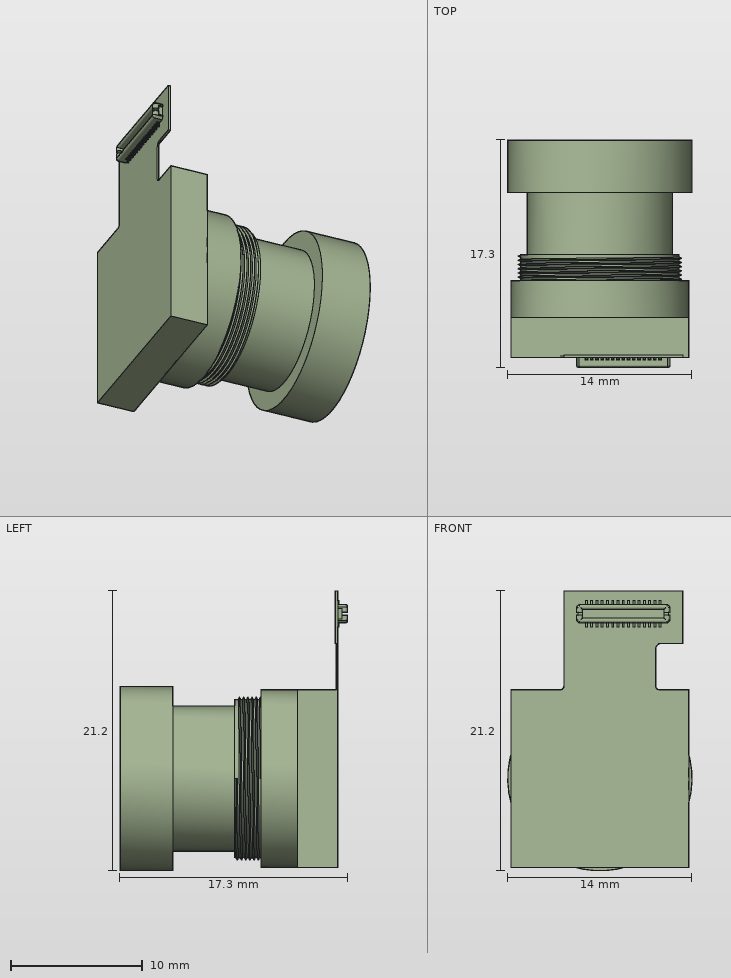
import cadquery as cq


housing_side = 13.52
housing_depth = 3.04
collar_length = 2.8

thread_length = 1.98
core_radius = 6.01
barrel_length = 4.7
barrel_radius = 5.52
head_length = 4.0
head_diameter = 14.0
head_radius = head_diameter / 2

crest_radius = 6.2
thread_pitch = 0.32
ridge_base = 0.23
thread_turns = 6
ridge_overlap = 0.05

total_height = 21.25
flex_top = total_height - head_radius
flex_left = -2.75
flex_right = 6.3
neck_right = 4.25
flex_thickness = 0.13
head_pad_height = 4.0
head_pad_thickness = 0.202
notch_fillet = 0.4
root_fillet = 0.25

connector_x = (flex_left + flex_right) / 2
connector_z = 12.52
connector_length = 7.1
connector_width = 1.4
connector_height = 0.75
corner_chamfer = 0.2
rim_fillet = 0.17
cavity_length = 6.16
cavity_width = 0.64
cavity_depth = 0.47
slot_width = 0.21
slot_depth = 0.4
end_recess_width = 0.8
end_recess_depth = 0.13

tails_per_side = 15
tail_row_length = 5.59
tail_width = 0.15
tail_thickness = 0.08
tail_span = 2.0
notch_width = 0.21
notch_height = 0.2
notch_depth = 0.06

collar_end = housing_depth + collar_length
thread_end = collar_end + thread_length
barrel_end = thread_end + barrel_length
head_end = barrel_end + head_length


def block(size_x, size_y, size_z, center_x, front, center_z):
    """Box whose lowest Y is at front, centred on the given X and Z."""
    return cq.Workplane("XY").box(size_x, size_y, size_z).translate(
        (center_x, front + size_y / 2, center_z)
    )


def thread_ridge():
    """Right-handed helical ridge that starts on the -X side and runs down into the collar."""
    root_radius = core_radius - ridge_overlap
    start = thread_end - ridge_base / 2
    path = cq.Wire.makeHelix(thread_pitch, thread_turns * thread_pitch, root_radius)
    ridge = (
        cq.Workplane("XZ")
        .moveTo(root_radius, -ridge_base / 2)
        .lineTo(crest_radius, 0)
        .lineTo(root_radius, ridge_base / 2)
        .close()
        .sweep(cq.Workplane(obj=path), isFrenet=True)
    )
    ridge = ridge.rotate((0, 0, 0), (1, 0, 0), 90)
    ridge = ridge.rotate((0, 0, 0), (0, 1, 0), 180)
    return ridge.translate((0, start, 0))


def round_body():
    """Collar, threaded core, barrel and head, turned as one stepped profile about the lens axis."""
    return (
        cq.Workplane("YZ")
        .moveTo(housing_depth, 0)
        .lineTo(housing_depth, housing_side / 2)
        .lineTo(collar_end, housing_side / 2)
        .lineTo(collar_end, core_radius)
        .lineTo(thread_end, core_radius)
        .lineTo(thread_end, barrel_radius)
        .lineTo(barrel_end, barrel_radius)
        .lineTo(barrel_end, head_radius)
        .lineTo(head_end, head_radius)
        .lineTo(head_end, 0)
        .close()
        .revolve(360, (0, 0, 0), (1, 0, 0))
    )


def flex_circuit():
    """Thin strip rising from the housing, with a wider and thicker pad at its top."""
    root = housing_side / 2
    pad_bottom = flex_top - head_pad_height
    strip = (
        cq.Workplane("XZ")
        .moveTo(flex_left - root_fillet, root)
        .radiusArc((flex_left, root + root_fillet), -root_fillet)
        .lineTo(flex_left, flex_top)
        .lineTo(flex_right, flex_top)
        .lineTo(flex_right, pad_bottom)
        .lineTo(neck_right + notch_fillet, pad_bottom)
        .radiusArc((neck_right, pad_bottom - notch_fillet), -notch_fillet)
        .lineTo(neck_right, root + root_fillet)
        .radiusArc((neck_right + root_fillet, root), -root_fillet)
        .close()
        .extrude(-flex_thickness)
    )
    pad = block(
        flex_right - flex_left, head_pad_thickness, head_pad_height,
        (flex_left + flex_right) / 2, 0, pad_bottom + head_pad_height / 2,
    )
    return strip.union(pad)


def camera_module():
    housing = block(housing_side, housing_depth, housing_side, 0, 0, 0)
    threaded_body = round_body().union(thread_ridge())
    return housing.union(threaded_body).union(flex_circuit())


def connector_shell():
    """Open shell facing -Y, with rounded rims and split ends."""
    shell = block(
        connector_length, connector_height, connector_width, connector_x, -connector_height, connector_z
    )
    shell = shell.edges("|Y").chamfer(corner_chamfer)
    cavity = block(
        cavity_length, cavity_depth, cavity_width, connector_x, -connector_height, connector_z
    )
    shell = shell.cut(cavity).faces("<Y").edges().fillet(rim_fillet)
    end_slot = block(
        connector_length, slot_depth, slot_width, connector_x, -connector_height, connector_z
    )
    shell = shell.cut(end_slot)
    for side in (-1, 1):
        recess = block(
            2 * end_recess_depth, connector_height - slot_depth, end_recess_width,
            connector_x + side * connector_length / 2, slot_depth - connector_height, connector_z,
        )
        shell = shell.cut(recess)
    return shell


def connector():
    """Shell with a row of solder tails along each long side, each tail leaving through a notch."""
    body = connector_shell()
    tail_pitch = tail_row_length / (tails_per_side - 1)
    first_tail = connector_x - tail_row_length / 2
    for index in range(tails_per_side):
        tail_x = first_tail + index * tail_pitch
        for side in (-1, 1):
            wall_z = connector_z + side * connector_width / 2
            body = body.cut(block(notch_width, notch_height, 2 * notch_depth, tail_x, -notch_height, wall_z))
        body = body.union(block(tail_width, tail_thickness, tail_span, tail_x, -tail_thickness, connector_z))
    return body


result = cq.Compound.makeCompound([camera_module().val(), connector().val()])